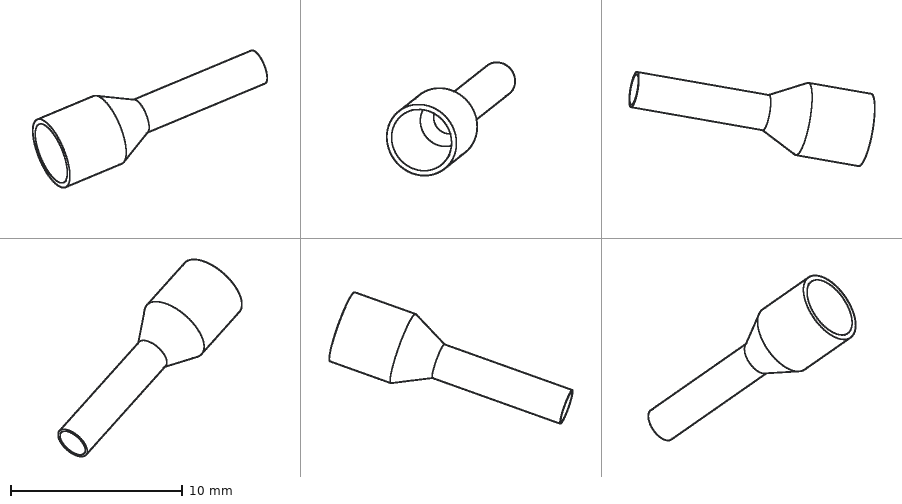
import cadquery as cq

total_length = 14.0
tube_length = 8.0
sleeve_length = 3.81
sleeve_radius = 4.3 / 2
tube_radius = 2.1 / 2
bore_radius = 1.8 / 2
mouth_radius = 3.7 / 2
socket_depth = 4.0
funnel_length = 0.9
funnel_radius = 2.85 / 2

tube_start = total_length - tube_length
funnel_end = socket_depth + funnel_length

wall_section = (
    cq.Workplane("XY")
    .moveTo(mouth_radius, 0)
    .lineTo(sleeve_radius, 0)
    .lineTo(sleeve_radius, sleeve_length)
    .lineTo(tube_radius, tube_start)
    .lineTo(tube_radius, total_length)
    .lineTo(bore_radius, total_length)
    .lineTo(bore_radius, funnel_end)
    .lineTo(funnel_radius, socket_depth)
    .close()
)

result = wall_section.revolve(360, (0, 0, 0), (0, 1, 0))